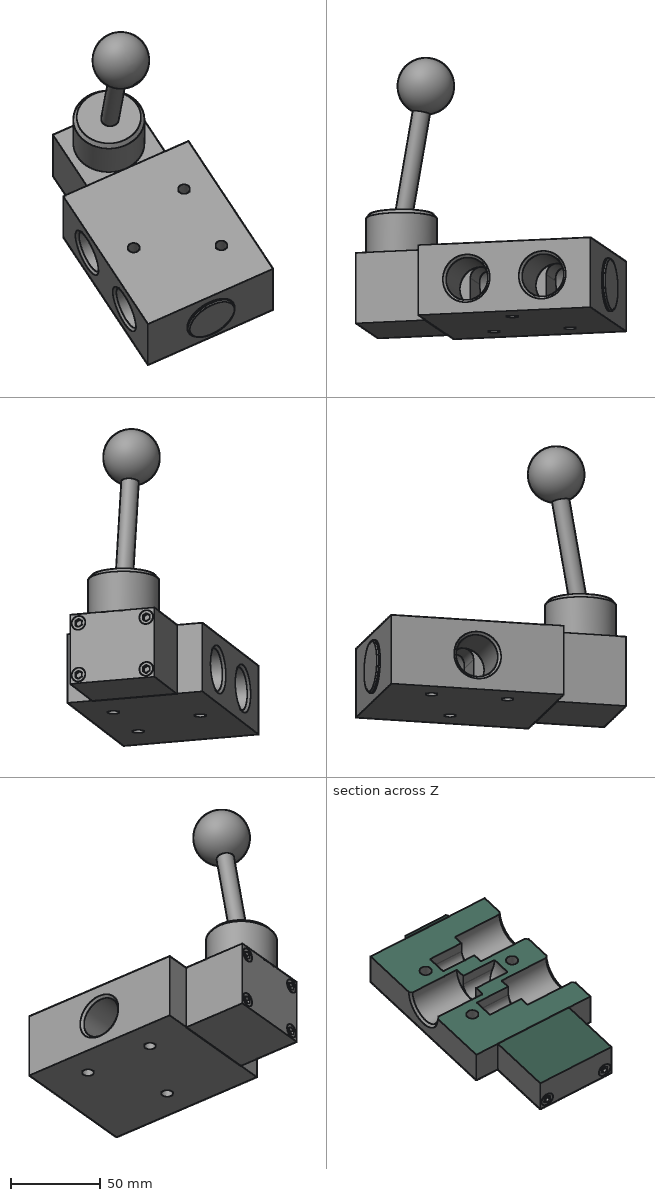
import cadquery as cq
import math

housing_length = 100.0
housing_width = 80.0
housing_height = 39.9
housing_bottom = 0.3
axis_z = 20.0

block_length = 40.0
block_width = 50.0
block_top = housing_bottom + housing_height
turret_diameter = block_length
turret_top = 65.3
turret_chamfer_height = 2.3
turret_chamfer_inset = 2.0
lever_diameter = 10.0
lever_angle = 10.0
lever_pivot_z = 57.8
ball_diameter = 32.0
overall_height = 154.1

screw_pitch_y = 40.0
screw_pitch_z = 30.0
head_diameter = 8.0
head_recess = 0.2
socket_across_corners = 4.6
socket_depth = 2.3

port_pitch = 44.0
port_diameter = 24.2
port_mouth_diameter = 27.3
port_depth = 32.4
slot_width = 12.0
slot_height = 24.0
gallery_diameter = 28.5

mount_hole_diameter = 6.6
mount_hole_offset_y = 22.0

plug_diameter = 30.0
plug_thickness = 1.8
plug_chamfer_length = 1.0
plug_chamfer_inset = 0.8

housing_center_x = block_length + housing_length / 2
housing_end_x = block_length + housing_length
face_y = housing_width / 2


def make_port(x, side):
    """Tool for one port in the face at Y = side * face_y: chamfered bore plus the slot behind it."""
    mouth_plane = cq.Plane(origin=(x, side * face_y, axis_z), xDir=(1, 0, 0), normal=(0, -side, 0))
    bore = cq.Workplane(mouth_plane).circle(port_diameter / 2).extrude(port_depth)
    chamfer = (port_mouth_diameter - port_diameter) / 2
    mouth = cq.Workplane(
        cq.Solid.makeCone(port_mouth_diameter / 2, port_diameter / 2, chamfer, mouth_plane.origin, mouth_plane.zDir)
    )
    slot = cq.Workplane(mouth_plane).slot2D(slot_height, slot_width, 90).extrude(housing_width)
    gallery = (
        cq.Workplane("YZ", origin=(x - slot_width, 0, axis_z))
        .circle(gallery_diameter / 2)
        .extrude(2 * slot_width)
    )
    return bore.union(mouth).union(slot.intersect(gallery))


def make_housing():
    body = cq.Workplane("XY", origin=(housing_center_x, 0, housing_bottom)).box(
        housing_length, housing_width, housing_height, centered=(True, True, False)
    )
    for offset_x, port_side in ((-port_pitch / 2, -1), (port_pitch / 2, -1), (0, 1)):
        x = housing_center_x + offset_x
        hole = (
            cq.Workplane("XY", origin=(x, -port_side * mount_hole_offset_y, housing_bottom))
            .circle(mount_hole_diameter / 2)
            .extrude(housing_height)
        )
        body = body.cut(make_port(x, port_side)).cut(hole)
    return body


def make_lever():
    """Tilted round rod, running from inside the turret to the centre of its ball knob."""
    tilt = math.radians(lever_angle)
    ball_z = overall_height - ball_diameter / 2
    pivot_x = block_length / 2
    direction = cq.Vector(math.sin(tilt), 0, math.cos(tilt))
    rod_length = (ball_z - lever_pivot_z) / math.cos(tilt)
    ball_x = pivot_x + rod_length * math.sin(tilt)
    rod = cq.Workplane(
        cq.Solid.makeCylinder(lever_diameter / 2, rod_length, cq.Vector(pivot_x, 0, lever_pivot_z), direction)
    )
    ball = cq.Workplane("XY", origin=(ball_x, 0, ball_z)).sphere(ball_diameter / 2)
    return rod.union(ball)


def make_actuator():
    block = cq.Workplane("XY").box(block_length, block_width, block_top, centered=(False, True, False))
    turret = (
        cq.Workplane("XY", origin=(block_length / 2, 0, block_top))
        .circle(turret_diameter / 2)
        .extrude(turret_top - block_top)
        .faces(">Z")
        .chamfer(turret_chamfer_height, turret_chamfer_inset)
    )
    screws = (
        cq.Workplane(cq.Plane(origin=(0, 0, axis_z), xDir=(0, 0, 1), normal=(1, 0, 0)))
        .rect(screw_pitch_z, screw_pitch_y, forConstruction=True)
        .vertices()
    )
    heads = screws.circle(head_diameter / 2).extrude(head_recess)
    sockets = screws.polygon(6, socket_across_corners).extrude(socket_depth)
    return block.union(turret).union(make_lever()).cut(heads).cut(sockets)


def make_plug():
    return (
        cq.Workplane("YZ", origin=(housing_end_x, 0, axis_z))
        .circle(plug_diameter / 2)
        .extrude(plug_thickness)
        .faces(">X")
        .chamfer(plug_chamfer_length, plug_chamfer_inset)
    )


housing = make_housing()
actuator = make_actuator()
plug = make_plug()

result = cq.Compound.makeCompound([housing.val(), actuator.val(), plug.val()])